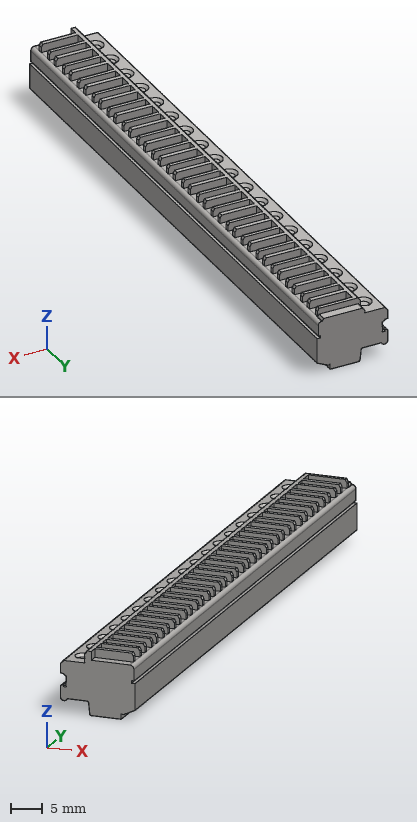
import cadquery as cq
import math

LENGTH = 96.5
WIDTH = 12.5
HEIGHT = 10.6

POSITIONS = 19
END_LENGTH = 1.5
PITCH = (LENGTH - END_LENGTH) / POSITIONS
FRONT_Y = -LENGTH / 2
MODULES_END_Y = LENGTH / 2 - END_LENGTH

RIDGE_HEIGHT = 2.0
DECK_Z = HEIGHT - RIDGE_HEIGHT
RIDGE_LEFT_X = 4.1
RIDGE_RIGHT_X = 11.7
RIDGE_BEVEL_X = 0.3
RIDGE_BEVEL_Z = 0.5
RIDGE_EDGE_BEVEL_X = 0.4
DECK_EDGE_BEVEL_X = 0.5
EDGE_BEVEL_Z = 0.6

SHOULDER_RADIUS = 0.7
SHOULDER_X = RIDGE_RIGHT_X + SHOULDER_RADIUS
NOTCH_X = 12.0
NOTCH_TOP_Z = 6.6
NOTCH_BOTTOM_Z = 6.2
SIDE_BOTTOM_Z = 1.7

FOOT_LEFT_X = 4.9
FOOT_RIGHT_X = 10.2
FOOT_BEVEL = 0.2
STEP_Z = 0.9
STEP_WIDTH = 0.5
FOOT_WALL_TOP_X = 4.7
FOOT_BLEND_RADIUS = 0.3

GROOVE_DEPTH = 1.0
GROOVE_MOUTH_TOP_Z = 6.5
GROOVE_BEND_X = 0.5
GROOVE_BEND_Z = 6.4
GROOVE_TOP_Z = 6.0
GROOVE_BOTTOM_Z = 4.2
LIP_Z = 4.5
LIP_BEVEL = 0.2
TOE_TOP_Z = 2.4
TOE_ARC_MIDDLE = (0.6, 1.9)
TOE_WIDTH = 1.2
UNDERSIDE_Z = 2.3

POCKET_LEFT_X = 5.2
POCKET_DEPTH = 1.4
POCKET_FLOOR_Z = HEIGHT - POCKET_DEPTH
THIN_RIB = 0.7
WIDE_POCKET = 2.0
THICK_RIB = 0.8
NARROW_POCKET = PITCH - THIN_RIB - WIDE_POCKET - THICK_RIB

END_STEP = 1.1

RECESS_X = 2.6
RECESS_TOP_RADIUS = 1.35
RECESS_FLOOR_RADIUS = 0.9
RECESS_DEPTH = 0.5


def extrude_outline(outline, start_y, end_y):
    """Extrude an XZ outline in +Y from start_y to end_y."""
    return outline.extrude(start_y - end_y).translate((0, start_y, 0))


def quarter_arc_middle(centre_x, centre_z, radius):
    """Midpoint of the quarter circle in the +X, +Z quadrant of its centre."""
    offset = radius * math.sqrt(0.5)
    return (centre_x + offset, centre_z + offset)


def make_outline(top_z):
    """Cross-section outline with the ridge crest at top_z."""
    shoulder_z = POCKET_FLOOR_Z - SHOULDER_RADIUS
    shoulder_middle = quarter_arc_middle(RIDGE_RIGHT_X, shoulder_z, SHOULDER_RADIUS)
    blend_x = FOOT_WALL_TOP_X - FOOT_BLEND_RADIUS
    blend_z = UNDERSIDE_Z - FOOT_BLEND_RADIUS
    blend_middle = quarter_arc_middle(blend_x, blend_z, FOOT_BLEND_RADIUS)
    return (
        cq.Workplane("XZ")
        .moveTo(FOOT_LEFT_X + FOOT_BEVEL, 0)
        .lineTo(FOOT_RIGHT_X, 0)
        .lineTo(FOOT_RIGHT_X, STEP_Z)
        .lineTo(FOOT_RIGHT_X + STEP_WIDTH, STEP_Z)
        .lineTo(WIDTH, SIDE_BOTTOM_Z)
        .lineTo(WIDTH, NOTCH_BOTTOM_Z)
        .lineTo(NOTCH_X, NOTCH_BOTTOM_Z)
        .lineTo(NOTCH_X, NOTCH_TOP_Z)
        .lineTo(SHOULDER_X, NOTCH_TOP_Z)
        .lineTo(SHOULDER_X, shoulder_z)
        .threePointArc(shoulder_middle, (RIDGE_RIGHT_X, POCKET_FLOOR_Z))
        .lineTo(RIDGE_RIGHT_X, top_z - RIDGE_BEVEL_Z)
        .lineTo(RIDGE_RIGHT_X - RIDGE_BEVEL_X, top_z)
        .lineTo(RIDGE_LEFT_X + RIDGE_EDGE_BEVEL_X, top_z)
        .lineTo(RIDGE_LEFT_X, top_z - EDGE_BEVEL_Z)
        .lineTo(RIDGE_LEFT_X, DECK_Z)
        .lineTo(DECK_EDGE_BEVEL_X, DECK_Z)
        .lineTo(0, DECK_Z - EDGE_BEVEL_Z)
        .lineTo(0, GROOVE_MOUTH_TOP_Z)
        .lineTo(GROOVE_BEND_X, GROOVE_BEND_Z)
        .lineTo(GROOVE_DEPTH, GROOVE_TOP_Z)
        .lineTo(GROOVE_DEPTH, GROOVE_BOTTOM_Z)
        .lineTo(GROOVE_BEND_X, GROOVE_BOTTOM_Z)
        .lineTo(GROOVE_BEND_X, LIP_Z)
        .lineTo(LIP_BEVEL, LIP_Z)
        .lineTo(0, LIP_Z - LIP_BEVEL)
        .lineTo(0, TOE_TOP_Z)
        .threePointArc(TOE_ARC_MIDDLE, (TOE_WIDTH, UNDERSIDE_Z))
        .lineTo(blend_x, UNDERSIDE_Z)
        .threePointArc(blend_middle, (FOOT_WALL_TOP_X, blend_z))
        .lineTo(FOOT_LEFT_X, FOOT_BEVEL)
        .close()
    )


def make_body():
    """Full-height strip followed by the lowered end at +Y."""
    ribbed = extrude_outline(make_outline(HEIGHT), FRONT_Y, MODULES_END_Y)
    lowered = extrude_outline(make_outline(HEIGHT - END_STEP), MODULES_END_Y, LENGTH / 2)
    return ribbed.union(lowered)


def make_pocket(far_y, length):
    """Pocket reaching towards -Y from far_y, open at the top and on the +X side."""
    pocket = cq.Workplane("XY").box(WIDTH - POCKET_LEFT_X, length, POCKET_DEPTH, centered=False)
    return pocket.translate((POCKET_LEFT_X, far_y - length, POCKET_FLOOR_Z))


def make_recess(centre_y):
    """Conical recess sunk into the deck, with a flat floor."""
    cone = cq.Solid.makeCone(
        RECESS_FLOOR_RADIUS,
        RECESS_TOP_RADIUS,
        RECESS_DEPTH,
        pnt=cq.Vector(RECESS_X, centre_y, DECK_Z - RECESS_DEPTH),
    )
    return cq.Workplane(obj=cone)


body = make_body()
for position in range(POSITIONS):
    module_y = MODULES_END_Y - position * PITCH
    wide_y = module_y - THIN_RIB
    narrow_y = wide_y - WIDE_POCKET - THICK_RIB
    body = body.cut(make_pocket(wide_y, WIDE_POCKET))
    body = body.cut(make_pocket(narrow_y, NARROW_POCKET))
    body = body.cut(make_recess(wide_y - WIDE_POCKET / 2))

result = body.translate((-WIDTH / 2, 0, -HEIGHT / 2))